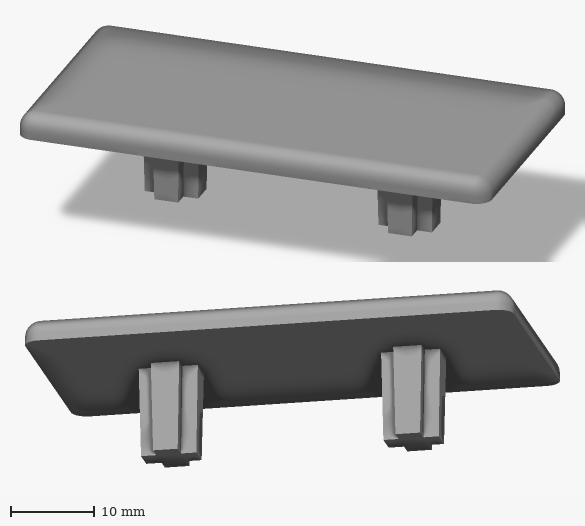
import cadquery as cq

length = 60.0
width = 30.0
total_height = 14.0
plate_thickness = 3.0
edge_radius = 2.0

peg_spacing = 29.75
peg_span = 7.25
arm_width = 3.5
draft_angle = 1.2
peg_length = total_height - plate_thickness


def make_plate():
    """Plate with its underside at Z = 0, rounded corners and a rounded top edge."""
    plate = cq.Workplane("XY").box(length, width, plate_thickness, centered=(True, True, False))
    plate = plate.edges("|Z").fillet(edge_radius)
    return plate.faces(">Z").edges().fillet(edge_radius)


def make_arm(size_x, size_y):
    """Rectangular bar hanging from Z = 0 whose four sides draft inwards."""
    return cq.Workplane("XY").rect(size_x, size_y).extrude(-peg_length, taper=draft_angle)


def make_peg(center_x):
    """Drafted cross-shaped peg hanging from the underside of the plate."""
    cross = make_arm(peg_span, arm_width).union(make_arm(arm_width, peg_span))
    return cross.translate((center_x, 0, 0))


result = make_plate()
for direction in (-1, 1):
    result = result.union(make_peg(direction * peg_spacing / 2))